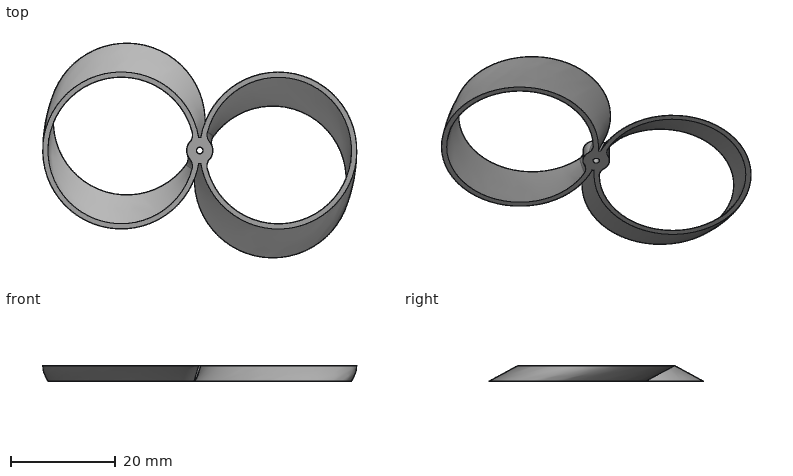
import cadquery as cq
import math

total_length = 60.0
height = 3.0
wall = 1.0
hub_radius = 2.5
bore_diameter = 1.2
fillet_radius = 2.0
lobe_drop = 5.5

ring_outer_radius = total_length / 4
ring_inner_radius = ring_outer_radius - wall
twist_angle = math.degrees(math.asin(lobe_drop / ring_outer_radius))


def twist(profile):
    """Extrude a profile while twisting it about Z, aligned with X at the top."""
    body = profile.twistExtrude(height, twist_angle)
    return body.rotate((0, 0, 0), (0, 0, 1), -twist_angle)


def ring_disc():
    """Outer circle of the ring on the +X side."""
    return cq.Workplane("XY").moveTo(ring_outer_radius, 0).circle(ring_outer_radius)


def ring_window():
    """Opening of the +X ring: a circle bitten by the hub, with rounded corners."""
    centre_x = ring_outer_radius
    hub_distance = hub_radius + fillet_radius
    ring_distance = ring_inner_radius - fillet_radius
    fillet_x = (hub_distance**2 + centre_x**2 - ring_distance**2) / (2 * centre_x)
    fillet_y = math.sqrt(hub_distance**2 - fillet_x**2)

    hub_scale = hub_radius / hub_distance
    hub_x = fillet_x * hub_scale
    hub_y = fillet_y * hub_scale

    ring_scale = ring_inner_radius / ring_distance
    ring_x = centre_x + (fillet_x - centre_x) * ring_scale
    ring_y = fillet_y * ring_scale

    middle_angle = (
        math.atan2(hub_y - fillet_y, hub_x - fillet_x) % math.tau
        + math.atan2(ring_y - fillet_y, ring_x - fillet_x) % math.tau
    ) / 2
    middle_x = fillet_x + fillet_radius * math.cos(middle_angle)
    middle_y = fillet_y + fillet_radius * math.sin(middle_angle)

    return (
        cq.Workplane("XY")
        .moveTo(hub_x, -hub_y)
        .threePointArc((hub_radius, 0), (hub_x, hub_y))
        .threePointArc((middle_x, middle_y), (ring_x, ring_y))
        .threePointArc((centre_x + ring_inner_radius, 0), (ring_x, -ring_y))
        .threePointArc((middle_x, -middle_y), (hub_x, -hub_y))
        .close()
    )


def both_sides(body):
    """The body and its copy turned half a revolution about the hub axis."""
    return [body.rotate((0, 0, 0), (0, 0, 1), angle) for angle in (0, 180)]


result = cq.Workplane("XY").circle(hub_radius).extrude(height)
for disc in both_sides(twist(ring_disc())):
    result = result.union(disc)

for window in both_sides(twist(ring_window())):
    result = result.cut(window)

bore = cq.Workplane("XY").circle(bore_diameter / 2).extrude(height)
result = result.cut(bore)